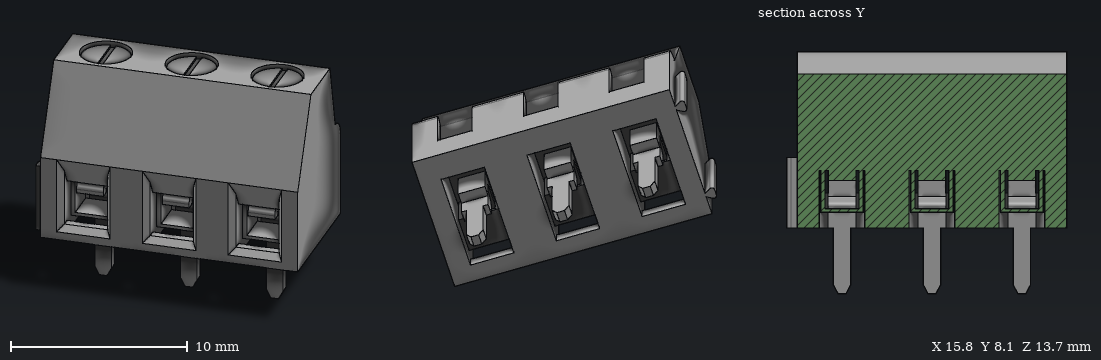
import cadquery as cq
import math

POLES = 3
PITCH = 5.08
LENGTH = POLES * PITCH
OVERALL_LENGTH = 15.83
CLIP_REACH = OVERALL_LENGTH - LENGTH
DEPTH = 8.1
HEIGHT = 9.99
FRONT_WALL_HEIGHT = 5.0
FRONT_SLOPE_RUN = 2.5
BACK_SLOPE_RUN = 1.0
LEDGE_RADIUS = 1.0
LEDGE_TOP = FRONT_WALL_HEIGHT + LEDGE_RADIUS
LEDGE_FRONT = DEPTH - LEDGE_RADIUS

OPENING_WIDTH = 3.17
OPENING_BOTTOM = 0.49
FLARE = 0.3
FLARE_DEPTH = 0.5
FLARE_TOP = LEDGE_TOP
CAVITY_FRONT = 1.01
CAVITY_WIDTH = OPENING_WIDTH - 2 * FLARE
CAVITY_TOP = 3.26
SILL_HEIGHT = OPENING_BOTTOM + FLARE
BACK_STEP_FRONT = 6.6

NOTCH_FLOOR = 2.0
NOTCH_BACK_WIDTH = 2.05
NOTCH_FRONT_WIDTH = 2.31

CAGE_FRONT = 1.5
CAGE_LENGTH = 2.0
CAGE_WIDTH = 2.42
CAGE_INNER_WIDTH = 1.9
CAGE_BOTTOM = 0.9
CAGE_INNER_BOTTOM = 1.11

STRIP_WIDTH = 1.58
STRIP_THICKNESS = 0.6
PIN_FRONT = 3.72
CONTACT_TIP_FRONT = 1.27
CONTACT_TIP_BOTTOM = 2.47
CONTACT_EMBED = 0.03
CONTACT_TOP = CAVITY_TOP + CONTACT_EMBED
BEND_TOP = 1.79
RISER_FRONT = PIN_FRONT + STRIP_THICKNESS
PIN_WIDTH = 1.0
PIN_LENGTH = 3.7
PIN_TAPER_HEIGHT = 0.5
PIN_TIP_WIDTH = 0.46

SCREW_Y = 4.29
RECESS_DIAMETER = 3.0
RECESS_DEPTH = 0.5
SCREW_DIAMETER = 2.83
SCREW_SINK = 0.2
SLOT_WIDTH = 0.32
SLOT_DEPTH = 0.13

CLIP_OFFSET = 1.22
CLIP_HEIGHT = 4.0
CLIP_FACE_WIDTH = 0.9
CLIP_FLANK_ANGLE = 30
CLIP_CORNER_RADIUS = 0.16

POLE_CENTRES = [(i + 0.5) * PITCH for i in range(POLES)]


def box(width, y_range, z_range):
    """Box centred on X = 0 between two Y and two Z limits."""
    y0, y1 = y_range
    z0, z1 = z_range
    return cq.Workplane("XY").box(width, y1 - y0, z1 - z0).translate((0, (y0 + y1) / 2, (z0 + z1) / 2))


def side_prism(outline, width):
    """Extrude a closed (Y, Z) outline symmetrically about X = 0."""
    return outline.close().extrude(width / 2, both=True)


def housing():
    """Block with sloping front and back faces and a rounded ledge along the back."""
    half_chord = LEDGE_RADIUS * math.sin(math.radians(45))
    arc_middle = (LEDGE_FRONT + half_chord, FRONT_WALL_HEIGHT + half_chord)
    top_back = LEDGE_FRONT - BACK_SLOPE_RUN
    return (
        cq.Workplane("YZ")
        .polyline([(DEPTH, FRONT_WALL_HEIGHT), (DEPTH, 0), (0, 0), (0, FRONT_WALL_HEIGHT),
                   (FRONT_SLOPE_RUN, HEIGHT), (top_back, HEIGHT), (LEDGE_FRONT, LEDGE_TOP)])
        .threePointArc(arc_middle, (DEPTH, FRONT_WALL_HEIGHT))
        .close()
        .extrude(LENGTH)
    )


def wire_opening():
    """Flared opening under a sloping roof, leading into a cavity that is open below."""
    under_roof = side_prism(
        cq.Workplane("YZ").polyline([(0, 0), (0, FRONT_WALL_HEIGHT), (CAVITY_FRONT, CAVITY_TOP),
                                     (CAVITY_FRONT, 0)]),
        OPENING_WIDTH,
    )
    flare_middle = (OPENING_BOTTOM + FLARE_TOP) / 2
    flare_height = FLARE_TOP - OPENING_BOTTOM
    flare = (
        cq.Workplane("XZ", origin=(0, 0, flare_middle))
        .rect(OPENING_WIDTH, flare_height)
        .workplane(offset=-FLARE_DEPTH)
        .rect(CAVITY_WIDTH, flare_height - 2 * FLARE)
        .loft(ruled=True)
    )
    throat = box(CAVITY_WIDTH, (FLARE_DEPTH, CAVITY_FRONT), (SILL_HEIGHT, FLARE_TOP))
    cavity = box(CAVITY_WIDTH, (CAVITY_FRONT, BACK_STEP_FRONT), (0, CAVITY_TOP))
    above_step = box(CAVITY_WIDTH, (BACK_STEP_FRONT, LEDGE_FRONT), (NOTCH_FLOOR, CAVITY_TOP))
    return flare.union(throat).intersect(under_roof).union(cavity).union(above_step)


def ledge_notch():
    """Notch that narrows toward the back face and is open at the top."""
    return (
        cq.Workplane("XY", origin=(0, 0, NOTCH_FLOOR))
        .polyline([(-NOTCH_FRONT_WIDTH / 2, LEDGE_FRONT), (NOTCH_FRONT_WIDTH / 2, LEDGE_FRONT),
                   (NOTCH_BACK_WIDTH / 2, DEPTH), (-NOTCH_BACK_WIDTH / 2, DEPTH)])
        .close()
        .extrude(LEDGE_TOP - NOTCH_FLOOR)
    )


def clamp_cage():
    """U-shaped cage hanging from the cavity roof, open at front and back."""
    span = (CAGE_FRONT, CAGE_FRONT + CAGE_LENGTH)
    outside = box(CAGE_WIDTH, span, (CAGE_BOTTOM, CAVITY_TOP))
    return outside.cut(box(CAGE_INNER_WIDTH, span, (CAGE_INNER_BOTTOM, CAVITY_TOP)))


def quarter_bend(outline, y, z):
    """Add the outer quarter circle of a bend that starts upright at (y, z) and ends pointing back."""
    radius = STRIP_THICKNESS
    half_chord = radius * math.sin(math.radians(45))
    middle = (y + radius - half_chord, z + half_chord)
    return outline.threePointArc(middle, (y + radius, z + radius))


def contact():
    """Strip rising from the pin, stepped back by its own thickness, then folded forward at the top."""
    riser_back = RISER_FRONT + STRIP_THICKNESS
    tip_back = CONTACT_TIP_FRONT + STRIP_THICKNESS
    bend_start = BEND_TOP - STRIP_THICKNESS
    fold_start = CONTACT_TOP - STRIP_THICKNESS
    outline = cq.Workplane("YZ").moveTo(PIN_FRONT, 0).lineTo(PIN_FRONT, bend_start)
    outline = quarter_bend(outline, PIN_FRONT, bend_start)
    outline = (
        outline.lineTo(RISER_FRONT, fold_start)
        .lineTo(tip_back, fold_start)
        .lineTo(tip_back, CONTACT_TIP_BOTTOM)
        .lineTo(CONTACT_TIP_FRONT, CONTACT_TIP_BOTTOM)
        .lineTo(CONTACT_TIP_FRONT, fold_start)
    )
    outline = quarter_bend(outline, CONTACT_TIP_FRONT, fold_start)
    outline = (
        outline.lineTo(riser_back, CONTACT_TOP)
        .lineTo(riser_back, bend_start)
        .lineTo(RISER_FRONT, bend_start)
        .lineTo(RISER_FRONT, 0)
    )
    strip = side_prism(outline, STRIP_WIDTH)
    taper_start = PIN_TAPER_HEIGHT - PIN_LENGTH
    pin = (
        cq.Workplane("XZ", origin=(0, PIN_FRONT, 0))
        .polyline([(-PIN_WIDTH / 2, 0), (-PIN_WIDTH / 2, taper_start), (-PIN_TIP_WIDTH / 2, -PIN_LENGTH),
                   (PIN_TIP_WIDTH / 2, -PIN_LENGTH), (PIN_WIDTH / 2, taper_start), (PIN_WIDTH / 2, 0)])
        .close()
        .extrude(-STRIP_THICKNESS)
    )
    return strip.union(pin)


def screw_recess():
    """Round recess that leaves a slotted screw head standing inside a thin ring gap."""
    recess = (
        cq.Workplane("XY", origin=(0, SCREW_Y, HEIGHT))
        .circle(RECESS_DIAMETER / 2)
        .extrude(-RECESS_DEPTH)
    )
    floor = HEIGHT - RECESS_DEPTH
    head_top = HEIGHT - SCREW_SINK
    head = (
        cq.Workplane("XY", origin=(0, SCREW_Y, floor))
        .circle(SCREW_DIAMETER / 2)
        .extrude(head_top - floor)
    )
    reach = SCREW_DIAMETER / 2
    slot = box(SLOT_WIDTH, (SCREW_Y - reach, SCREW_Y + reach), (head_top - SLOT_DEPTH, head_top))
    return recess.cut(head.cut(slot))


def clip():
    """Dovetail rail on the -X face, centred on Y = 0."""
    face = CLIP_FACE_WIDTH / 2
    root = face - CLIP_REACH * math.tan(math.radians(CLIP_FLANK_ANGLE))
    return (
        cq.Workplane("XY")
        .polyline([(0, -root), (0, root), (-CLIP_REACH, face), (-CLIP_REACH, -face)])
        .close()
        .extrude(CLIP_HEIGHT)
        .edges("|Z and <X")
        .fillet(CLIP_CORNER_RADIUS)
    )


body = housing()
for x in POLE_CENTRES:
    for cutter in (wire_opening(), ledge_notch(), screw_recess()):
        body = body.cut(cutter.translate((x, 0, 0)))
    for insert in (clamp_cage(), contact()):
        body = body.union(insert.translate((x, 0, 0)))
for y in (CLIP_OFFSET, DEPTH - CLIP_OFFSET):
    body = body.union(clip().translate((0, y, 0)))

result = body